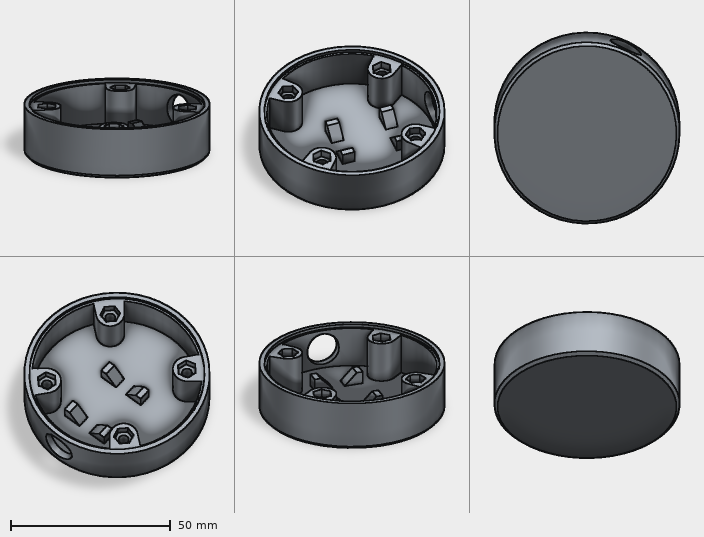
import cadquery as cq
import math

outer_diameter = 58.0
height = 16.0
bottom_chamfer = 1.0
floor_thickness = 2.0
cavity_diameter = 53.2

lid_seat_diameter = 54.8
lid_seat_depth = 1.0
seat_level = height - lid_seat_depth

post_count = 4
post_circle_radius = 22.0
post_radius = 4.4
post_flare_angle = 5.75
post_reach = (cavity_diameter + lid_seat_diameter) / 4
screw_hole_diameter = 3.2
nut_sides = 6
nut_across_corners = 6.2
nut_pocket_depth = 2.6

cable_hole_diameter = 10.5
cable_hole_level = 8.5

wedge_inner_x = 2.0
wedge_length = 6.0
wedge_width = 4.0
wedge_top_length = 2.0
wedge_height = wedge_length - wedge_top_length
wedge_row_centres_y = (14.0, -4.0)


def disc(diameter, bottom, top):
    """Upright cylinder on the Z axis between two levels."""
    return cq.Workplane("XY").workplane(offset=bottom).circle(diameter / 2).extrude(top - bottom)


def make_cup():
    body = disc(outer_diameter, 0, height).faces("<Z").edges().chamfer(bottom_chamfer)
    body = body.cut(disc(cavity_diameter, floor_thickness, height))
    return body.cut(disc(lid_seat_diameter, seat_level, height))


def make_post():
    """Post on the +X axis: round nose with tangent sides that flare out to the wall."""
    flare = math.radians(post_flare_angle)
    tangent_x = post_circle_radius - post_radius * math.sin(flare)
    tangent_y = post_radius * math.cos(flare)
    wall_y = tangent_y + (post_reach - tangent_x) * math.tan(flare)
    return (
        cq.Workplane("XY")
        .moveTo(post_reach, -wall_y)
        .lineTo(tangent_x, -tangent_y)
        .threePointArc((post_circle_radius - post_radius, 0), (tangent_x, tangent_y))
        .lineTo(post_reach, wall_y)
        .close()
        .extrude(seat_level)
        .intersect(disc(lid_seat_diameter, floor_thickness, seat_level))
    )


def make_post_bore():
    """Nut pocket with two flats square to the radius, above a blind screw hole."""
    pocket = (
        cq.Workplane("XY")
        .polygon(nut_sides, nut_across_corners)
        .extrude(nut_pocket_depth)
        .rotate((0, 0, 0), (0, 0, 1), 180 / nut_sides)
        .translate((post_circle_radius, 0, seat_level - nut_pocket_depth))
    )
    hole = disc(screw_hole_diameter, floor_thickness, seat_level).translate((post_circle_radius, 0, 0))
    return pocket.union(hole)


def make_wedge(centre_y):
    """Wedge on the +X side of the floor."""
    outer_x = wedge_inner_x + wedge_length
    wedge_top = floor_thickness + wedge_height
    return (
        cq.Workplane("XZ", origin=(0, centre_y, 0))
        .moveTo(wedge_inner_x, floor_thickness)
        .lineTo(outer_x, floor_thickness)
        .lineTo(outer_x, wedge_top)
        .lineTo(outer_x - wedge_top_length, wedge_top)
        .close()
        .extrude(wedge_width / 2, both=True)
    )


def make_cable_hole():
    """Round cutter running from the Y = 0 plane out past the +Y wall."""
    return (
        cq.Workplane("XZ", origin=(0, 0, cable_hole_level))
        .circle(cable_hole_diameter / 2)
        .extrude(-outer_diameter)
    )


result = make_cup()

post = make_post()
post_bore = make_post_bore()
post_spacing = 360 / post_count
for index in range(post_count):
    angle = post_spacing * (index + 0.5)
    result = result.union(post.rotate((0, 0, 0), (0, 0, 1), angle))
    result = result.cut(post_bore.rotate((0, 0, 0), (0, 0, 1), angle))

for row_y in wedge_row_centres_y:
    wedge = make_wedge(row_y)
    result = result.union(wedge).union(wedge.mirror("YZ"))

result = result.cut(make_cable_hole())